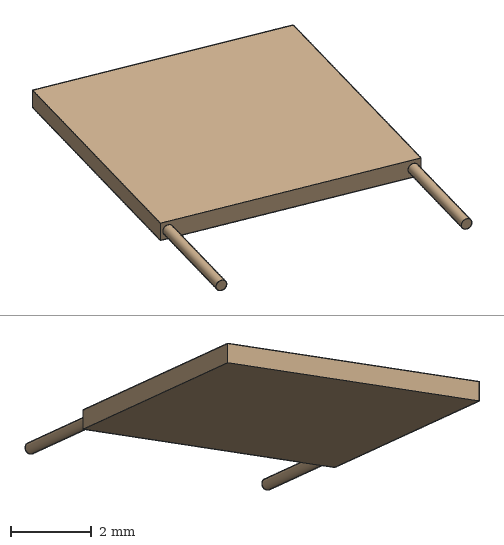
import cadquery as cq

total_length = 10.21
plate_side = 7.21
plate_thickness = 0.5

lead_diameter = 0.3
lead_spacing = 6.78
lead_length = total_length - plate_side


def make_plate():
    """Square plate centred on the origin."""
    return cq.Workplane("XY").box(plate_side, plate_side, plate_thickness)


def make_lead(y_position):
    """Round lead butted against the +X face, at mid-thickness of the plate."""
    return (
        cq.Workplane("YZ", origin=(plate_side / 2, y_position, 0))
        .circle(lead_diameter / 2)
        .extrude(lead_length)
    )


plate = make_plate()
leads = [make_lead(side * lead_spacing / 2) for side in (-1, 1)]

result = cq.Compound.makeCompound([plate.val(), *[lead.val() for lead in leads]])